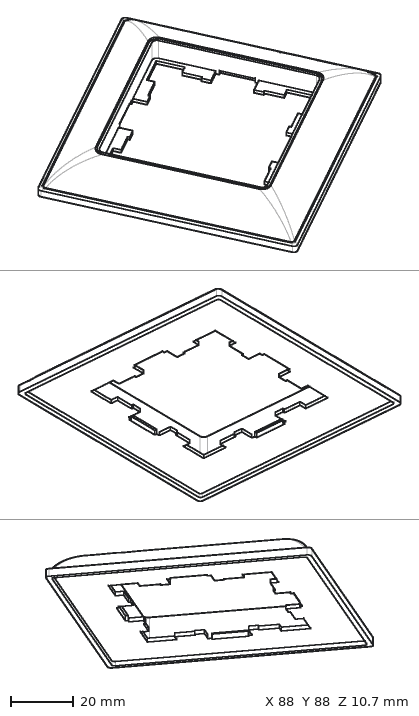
import cadquery as cq
import math

side = 88.0
height = 10.7

rim_height = 2.6
rim_corner = 1.3
slope_inset = 1.05
slope_corner = 0.9
slope_top = 3.0

crown_radius = 15.7
crown_level_inset = 15.0
crown_foot_corner = 0.9
crown_level_corner = 3.0
crown_sections = 9

lip_top_inset = 14.25
lip_floor_inset = 14.7
lip_depth = 0.3
lip_corner = 3.0
opening_inset = 15.6
opening_corner = 1.7

ledge_inset = 17.0
ledge_bottom = 1.5
ledge_top = 2.8
tab_inset = 19.7
tab_tip_inset = 20.4
tab_near_end = 7.3
tab_step = 10.6
tab_far_end = 17.3
wall_overlap = 0.9

notch_width = 12.1
notch_top = 3.25
notch_depth = 0.9

rim_thickness = 1.8
recess_corner = 0.9


def rounded_square(inset, corner, z):
    """Round-cornered square set in from the outer sides of the frame, at height z."""
    width = side - 2 * inset
    outline = cq.Sketch().rect(width, width).vertices().fillet(corner)
    return outline.moved(cq.Location(cq.Vector(0, 0, z)))


def square_block(inset, corner, bottom, top):
    return cq.Workplane().placeSketch(rounded_square(inset, corner, bottom)).extrude(top - bottom)


def square_loft(sections):
    return cq.Workplane().placeSketch(*sections).loft()


def make_rim():
    wall = square_block(0, rim_corner, 0, rim_height)
    slope = square_loft([
        rounded_square(0, rim_corner, rim_height),
        rounded_square(slope_inset, slope_corner, slope_top),
    ])
    return wall.union(slope)


def make_crown():
    """Smooth loft through square sections spaced evenly by angle along the crown arc."""
    foot_angle = math.acos(1 - (height - slope_top) / crown_radius)
    crown_width = crown_radius * math.sin(foot_angle)
    sections = []
    for index in range(crown_sections):
        angle = foot_angle * (1 - index / (crown_sections - 1))
        distance = crown_radius * math.sin(angle)
        corner_loss = (crown_level_corner - crown_foot_corner) * distance / crown_width
        z = height - crown_radius * (1 - math.cos(angle))
        sections.append(rounded_square(crown_level_inset - distance, crown_level_corner - corner_loss, z))
    return square_loft(sections)


def make_opening():
    through = square_block(opening_inset, opening_corner, 0, height)
    lip = square_loft([
        rounded_square(lip_floor_inset, lip_corner, height - lip_depth),
        rounded_square(lip_top_inset, lip_corner, height),
    ])
    return through.union(lip)


def make_corner_ledge():
    """Ledge across one corner of the opening, ending in a stepped tab along each wall."""
    wall = side / 2 - opening_inset + wall_overlap
    ledge = side / 2 - ledge_inset
    tab = side / 2 - tab_inset
    tip = side / 2 - tab_tip_inset
    tab_profile = [
        (tab_near_end, wall),
        (tab_near_end, tip),
        (tab_step, tip),
        (tab_step, tab),
        (tab_far_end, tab),
        (tab_far_end, ledge),
    ]
    mirrored_profile = [(y, x) for x, y in reversed(tab_profile)]
    outline = tab_profile + [(ledge, ledge)] + mirrored_profile + [(wall, wall)]
    plane = cq.Workplane("XY", origin=(0, 0, ledge_bottom))
    return plane.polyline(outline).close().extrude(ledge_top - ledge_bottom)


def make_notches():
    """Two crossing bars that cut the notch into all four opening walls."""
    length = side - 2 * (opening_inset - notch_depth)
    bar = cq.Workplane().box(length, notch_width, notch_top, centered=(True, True, False))
    return bar.union(bar.rotate((0, 0, 0), (0, 0, 1), 90))


recess = square_block(rim_thickness, recess_corner, 0, ledge_bottom)
result = make_rim().union(make_crown()).cut(recess).cut(make_opening()).cut(make_notches())

corner_ledge = make_corner_ledge()
for quarter in range(4):
    result = result.union(corner_ledge.rotate((0, 0, 0), (0, 0, 1), 90 * quarter))